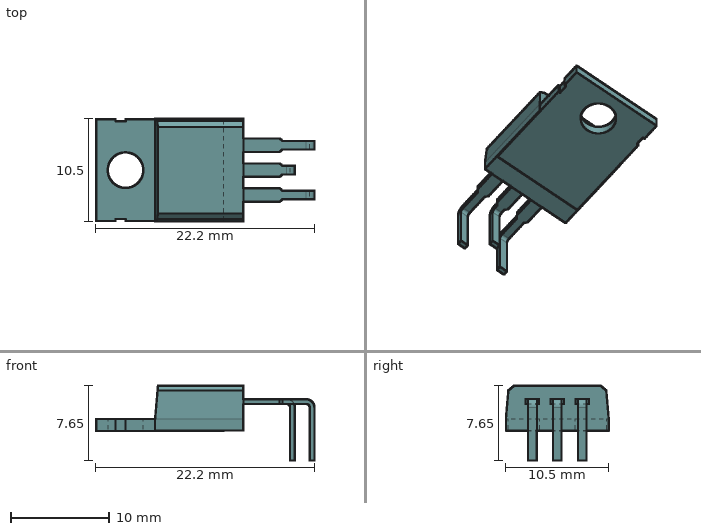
import cadquery as cq
import math


TAB_LENGTH = 13.0
TAB_WIDTH = 10.4
TAB_THICKNESS = 1.27
HOLE_DIAMETER = 3.6
HOLE_X = 3.0
NOTCH_START_X = 2.0
NOTCH_LENGTH = 1.0
NOTCH_DEPTH = 0.2

BODY_START_X = 6.0
BODY_LENGTH = 9.0
BODY_END_X = BODY_START_X + BODY_LENGTH
BODY_WIDTH = 10.5
BODY_BOTTOM_Z = 0.05
BODY_TOP_Z = 4.65
DRAFT_ANGLE = 5.0
CHAMFER_HEIGHT = 0.5
CHAMFER_WIDTH = 0.6

LEAD_PITCH = 2.54
LEAD_THICKNESS = 0.5
LEAD_TOP_Z = 3.27
LEAD_TIP_Z = -3.0
LEAD_WIDE = 1.4
LEAD_NARROW = 0.9
TAPER_START_X = 18.7
TAPER_END_X = 18.98
OUTER_LEAD_END_X = 22.25
LEAD_STAGGER = 2.0
BEND_INNER_RADIUS = 0.35
BEND_OUTER_RADIUS = BEND_INNER_RADIUS + LEAD_THICKNESS
LEAD_EMBED = 1.0


def make_tab():
    """Flat plate with a mounting hole and a notch in each long edge."""
    tab = cq.Workplane("XY").box(
        TAB_LENGTH, TAB_WIDTH, TAB_THICKNESS, centered=(False, True, False)
    )
    hole = cq.Workplane("XY").center(HOLE_X, 0).circle(HOLE_DIAMETER / 2).extrude(TAB_THICKNESS)
    notch_center_x = NOTCH_START_X + NOTCH_LENGTH / 2
    notches = (
        cq.Workplane("XY")
        .pushPoints([(notch_center_x, side * TAB_WIDTH / 2) for side in (-1, 1)])
        .rect(NOTCH_LENGTH, 2 * NOTCH_DEPTH)
        .extrude(TAB_THICKNESS)
    )
    return tab.cut(hole).cut(notches)


def make_body():
    """Straight base with drafted front and sides above it and chamfered upper edges."""
    slope = math.tan(math.radians(DRAFT_ANGLE))
    shoulder_z = BODY_TOP_Z - CHAMFER_HEIGHT
    base_half = BODY_WIDTH / 2
    shoulder_half = base_half - slope * (shoulder_z - TAB_THICKNESS)
    top_half = shoulder_half - CHAMFER_WIDTH
    cross_section = [
        (-base_half, BODY_BOTTOM_Z),
        (base_half, BODY_BOTTOM_Z),
        (base_half, TAB_THICKNESS),
        (shoulder_half, shoulder_z),
        (top_half, BODY_TOP_Z),
        (-top_half, BODY_TOP_Z),
        (-shoulder_half, shoulder_z),
        (-base_half, TAB_THICKNESS),
    ]
    body = (
        cq.Workplane("YZ")
        .workplane(offset=BODY_START_X)
        .polyline(cross_section)
        .close()
        .extrude(BODY_LENGTH)
    )
    front_setback = slope * (BODY_TOP_Z - TAB_THICKNESS)
    side_profile = (
        cq.Workplane("XZ")
        .moveTo(BODY_START_X, BODY_BOTTOM_Z)
        .lineTo(BODY_END_X, BODY_BOTTOM_Z)
        .lineTo(BODY_END_X, BODY_TOP_Z)
        .lineTo(BODY_START_X + front_setback, BODY_TOP_Z)
        .lineTo(BODY_START_X, TAB_THICKNESS)
        .close()
        .extrude(BODY_WIDTH / 2, both=True)
    )
    return body.intersect(side_profile)


def make_lead(y, end_x):
    """Lead centred on y that narrows outside the body and bends down at end_x."""
    start_x = BODY_END_X - LEAD_EMBED
    bottom_z = LEAD_TOP_Z - LEAD_THICKNESS
    inner_x = end_x - LEAD_THICKNESS
    bend_x = end_x - BEND_OUTER_RADIUS
    bend_z = LEAD_TOP_Z - BEND_OUTER_RADIUS
    bent_strip = (
        cq.Workplane("XZ", origin=(0, y, 0))
        .moveTo(start_x, LEAD_TOP_Z)
        .lineTo(bend_x, LEAD_TOP_Z)
        .radiusArc((end_x, bend_z), BEND_OUTER_RADIUS)
        .lineTo(end_x, LEAD_TIP_Z)
        .lineTo(inner_x, LEAD_TIP_Z)
        .lineTo(inner_x, bend_z)
        .radiusArc((bend_x, bottom_z), -BEND_INNER_RADIUS)
        .lineTo(start_x, bottom_z)
        .close()
        .extrude(LEAD_WIDE / 2, both=True)
    )
    wide_half = LEAD_WIDE / 2
    narrow_half = LEAD_NARROW / 2
    plan_outline = [
        (start_x, -wide_half),
        (TAPER_START_X, -wide_half),
        (TAPER_END_X, -narrow_half),
        (end_x, -narrow_half),
        (end_x, narrow_half),
        (TAPER_END_X, narrow_half),
        (TAPER_START_X, wide_half),
        (start_x, wide_half),
    ]
    plan = (
        cq.Workplane("XY", origin=(0, y, LEAD_TIP_Z))
        .polyline(plan_outline)
        .close()
        .extrude(LEAD_TOP_Z - LEAD_TIP_Z)
    )
    return bent_strip.intersect(plan)


result = make_tab().union(make_body())
for position in (-1, 0, 1):
    lead_end_x = OUTER_LEAD_END_X
    if position == 0:
        lead_end_x -= LEAD_STAGGER
    result = result.union(make_lead(position * LEAD_PITCH, lead_end_x))